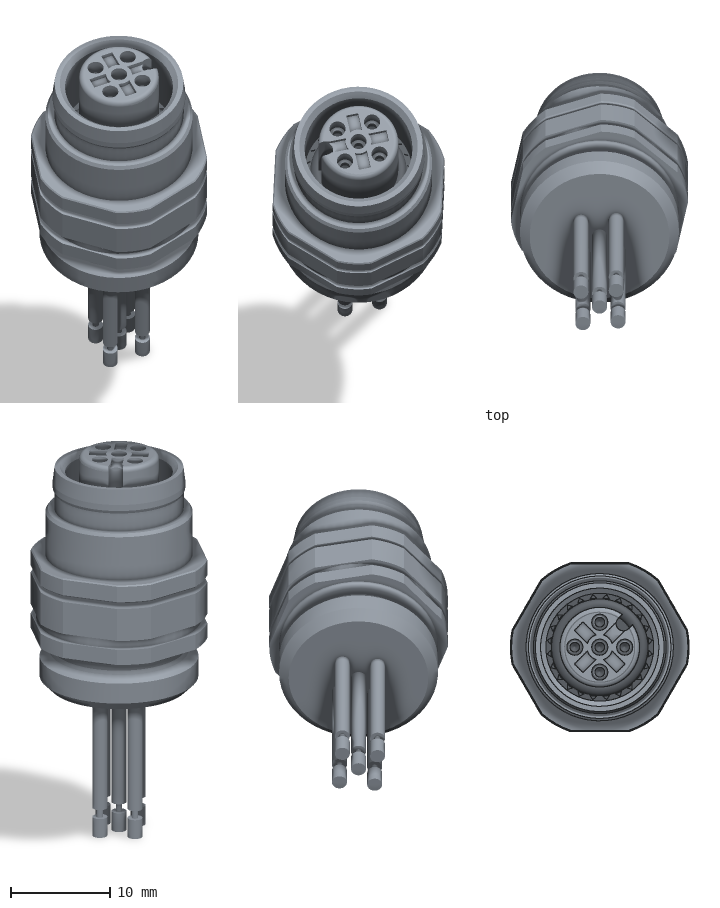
import cadquery as cq
import math


total_height = 40.5
body_height = 24.83
wire_length = total_height - body_height

core_radius = 6.75
flange_diameter = 16.0
flange_radius = flange_diameter / 2
flange_chamfer = 0.97
flange_rim_top = 3.1
flange_root_top = 4.05
flange_cone_radius = 7.0
flange_cone_top = 3.7

hex_across_flats = 17.0
hex_corner_radius = 9.0
rear_nut_bottom = 5.5
rear_nut_top = 7.13
middle_nut_bottom = 8.1
middle_nut_top = 11.55
front_nut_bottom = 12.15
front_nut_top = 14.05
front_nut_chamfer = 0.12
washer_radius = 8.35
seal_height = 0.5

barrel_radius = 7.4
barrel_top = 19.0
barrel_chamfer_height = 0.32
barrel_chamfer_width = 0.25
neck_radius = 6.52
neck_top = 20.9
lip_radius = 6.7
lip_bottom = 21.22
lip_taper_bottom = 21.85
shell_top_radius = 6.5
shell_top = 23.45
bore_radius = 5.43
bore_chamfer = 0.53
bore_floor = 16.6

notch_count = 24
notch_inner_radius = 4.95
notch_outer_radius = 5.35
notch_width = 0.65
notch_depth = 0.4
o_ring_radius = 4.2
o_ring_section_radius = 0.65

insert_radius = 4.0
insert_fillet = 0.5
slot_width = 1.2
slot_inner_radius = 1.3
slot_outer_radius = 3.0
slot_depth = 0.5
slot_angles = (45, 135, 225, 315)
keyway_angle = 45
keyway_radius = 0.73
keyway_center_radius = 3.35

contact_circle_radius = 2.5
contact_points = [
    (0, 0),
    (contact_circle_radius, 0),
    (0, contact_circle_radius),
    (-contact_circle_radius, 0),
    (0, -contact_circle_radius),
]
guide_hole_radius = 0.8
guide_hole_depth = 1.6
contact_hole_radius = 0.5
contact_hole_depth = 2.45
contact_point_depth = 0.5
wire_diameter = 1.5
wire_radius = wire_diameter / 2
wire_tip_length = 2.02
wire_neck_length = 0.97
wire_neck_radius = 0.32


def cylinder(radius, bottom, top):
    return cq.Workplane("XY").workplane(offset=bottom).circle(radius).extrude(top - bottom)


def cylinders_at(points, radius, bottom, top):
    return cq.Workplane("XY").workplane(offset=bottom).pushPoints(points).circle(radius).extrude(top - bottom)


def hex_nut(bottom, top):
    """Hexagon with flats facing +Y and -Y and its corners turned to a round."""
    across_corners = hex_across_flats / math.cos(math.radians(30))
    height = top - bottom
    prism = cq.Workplane("XY").workplane(offset=bottom).polygon(6, across_corners).extrude(height)
    return prism.intersect(cylinder(hex_corner_radius, bottom, top))


def turned_body():
    """Flange, threaded core, barrel and shell as one solid of revolution."""
    return (
        cq.Workplane("XZ")
        .lineTo(flange_radius - flange_chamfer, 0)
        .lineTo(flange_radius, flange_chamfer)
        .lineTo(flange_radius, flange_rim_top)
        .lineTo(flange_cone_radius, flange_cone_top)
        .lineTo(core_radius, flange_root_top)
        .lineTo(core_radius, front_nut_top)
        .lineTo(barrel_radius, front_nut_top)
        .lineTo(barrel_radius, barrel_top - barrel_chamfer_height)
        .lineTo(barrel_radius - barrel_chamfer_width, barrel_top)
        .lineTo(neck_radius, barrel_top)
        .lineTo(neck_radius, neck_top)
        .lineTo(lip_radius, lip_bottom)
        .lineTo(lip_radius, lip_taper_bottom)
        .lineTo(shell_top_radius, shell_top)
        .lineTo(0, shell_top)
        .close()
        .revolve(360, (0, 0, 0), (0, 1, 0))
    )


def bore():
    mouth_radius = bore_radius + bore_chamfer
    return (
        cq.Workplane("XZ")
        .moveTo(0, bore_floor)
        .lineTo(bore_radius, bore_floor)
        .lineTo(bore_radius, shell_top - bore_chamfer)
        .lineTo(mouth_radius, shell_top)
        .lineTo(0, shell_top)
        .close()
        .revolve(360, (0, 0, 0), (0, 1, 0))
    )


def floor_notches():
    """V notches around the bore floor, pointing outward."""
    pitch = 360 / notch_count
    notch = (
        cq.Workplane("XY")
        .workplane(offset=bore_floor - notch_depth)
        .moveTo(notch_inner_radius, -notch_width / 2)
        .lineTo(notch_outer_radius, 0)
        .lineTo(notch_inner_radius, notch_width / 2)
        .close()
        .extrude(notch_depth)
    )
    notches = cq.Workplane("XY")
    for index in range(notch_count):
        notches.add(notch.rotate((0, 0, 0), (0, 0, 1), (index + 0.5) * pitch))
    return notches.combine()


def seal():
    """Seal under the rear nut with a quarter-round outer edge."""
    bottom = rear_nut_bottom - seal_height
    return (
        cq.Workplane("XZ")
        .moveTo(0, bottom)
        .lineTo(flange_radius - seal_height, bottom)
        .radiusArc((flange_radius, rear_nut_bottom), -seal_height)
        .lineTo(0, rear_nut_bottom)
        .close()
        .revolve(360, (0, 0, 0), (0, 1, 0))
    )


def insert_slot(angle):
    """Shallow radial slot whose inner end follows a round about the centre contact."""
    bottom = body_height - slot_depth
    outer_radius = keyway_center_radius if angle == keyway_angle else slot_outer_radius
    slot = (
        cq.Workplane("XY")
        .workplane(offset=bottom)
        .center(outer_radius / 2, 0)
        .rect(outer_radius, slot_width)
        .extrude(slot_depth)
        .cut(cylinder(slot_inner_radius, bottom, body_height))
    )
    return slot.rotate((0, 0, 0), (0, 0, 1), angle)


def keyway():
    """Round-ended coding channel open to the side of the insert."""
    length = insert_radius - keyway_center_radius + keyway_radius
    height = body_height - bore_floor
    plane = cq.Workplane("XY").workplane(offset=bore_floor).center(keyway_center_radius, 0)
    round_end = plane.circle(keyway_radius).extrude(height)
    channel = plane.center(length / 2, 0).rect(length, 2 * keyway_radius).extrude(height)
    return round_end.union(channel).rotate((0, 0, 0), (0, 0, 1), keyway_angle)


def contact_hole():
    """Stepped hole with a conical bottom, on the Z axis."""
    guide_bottom = body_height - guide_hole_depth
    contact_bottom = body_height - contact_hole_depth
    return (
        cq.Workplane("XZ")
        .moveTo(0, contact_bottom - contact_point_depth)
        .lineTo(contact_hole_radius, contact_bottom)
        .lineTo(contact_hole_radius, guide_bottom)
        .lineTo(guide_hole_radius, guide_bottom)
        .lineTo(guide_hole_radius, body_height)
        .lineTo(0, body_height)
        .close()
        .revolve(360, (0, 0, 0), (0, 1, 0))
    )


def contact_insert():
    insert = cylinder(insert_radius, bore_floor, body_height).faces(">Z").edges().fillet(insert_fillet)
    for angle in slot_angles:
        insert = insert.cut(insert_slot(angle))
    insert = insert.cut(keyway())
    for x, y in contact_points:
        insert = insert.cut(contact_hole().translate((x, y, 0)))
    return insert


def o_ring():
    """Ring half sunk in the bore floor around the insert."""
    ring = cq.Solid.makeTorus(o_ring_radius, o_ring_section_radius)
    return cq.Workplane("XY").add(ring).translate((0, 0, bore_floor))


def wires():
    tip_top = wire_tip_length - wire_length
    wire_neck_top = tip_top + wire_neck_length
    sheath = cylinders_at(contact_points, wire_radius, wire_neck_top, 0)
    neck = cylinders_at(contact_points, wire_neck_radius, tip_top, wire_neck_top)
    tip = cylinders_at(contact_points, wire_radius, -wire_length, tip_top)
    return sheath.union(neck).union(tip)


front_nut = hex_nut(front_nut_bottom, front_nut_top).faces("<Z or >Z").edges().chamfer(front_nut_chamfer)

result = (
    turned_body()
    .cut(bore())
    .cut(floor_notches())
    .union(front_nut)
    .union(hex_nut(middle_nut_bottom, middle_nut_top).cut(cylinder(core_radius, 0, body_height)))
    .union(cylinder(washer_radius, rear_nut_top, middle_nut_bottom))
    .union(hex_nut(rear_nut_bottom, rear_nut_top))
    .union(seal())
    .union(contact_insert())
    .union(o_ring())
    .union(wires())
)